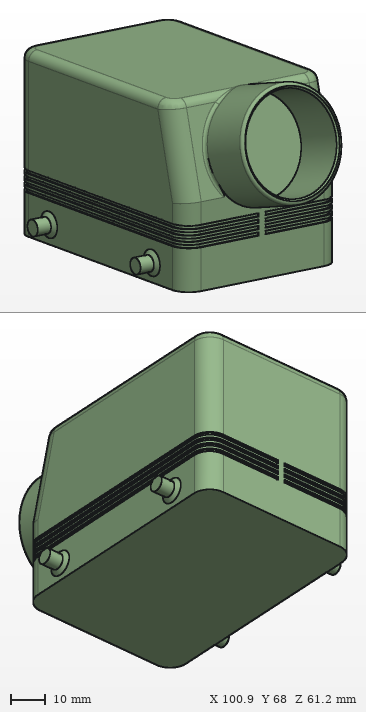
import cadquery as cq
import math

overall_length = 100.9
overall_height = 61.2

body_length = 81.9
body_width = 56.2
body_height = 56.0
corner_radius = 6.0
top_edge_radius = 3.0

slope_angle = 15.0
slope_start_z = 27.0

neck_radius = 18.0
neck_bore_radius = 16.1
neck_bore_chamfer = 0.6
neck_rim_radius = 1.0
neck_root_radius = 1.0

groove_count = 4
groove_height = 1.0
groove_depth = 0.6
groove_pitch = 1.9
first_groove_z = 13.2
groove_gap = 2.5

pin_span = 68.0
pin_radius = 2.5
pin_base_radius = 4.0
pin_base_height = 1.1
pin_z = 6.0
first_pin_x = 15.9
pin_spacing = 50.0

slope_rad = math.radians(slope_angle)
slope_top_x = body_length - (body_height - slope_start_z) * math.tan(slope_rad)
slope_direction = cq.Vector(-math.sin(slope_rad), 0, math.cos(slope_rad))
neck_direction = cq.Vector(math.cos(slope_rad), 0, math.sin(slope_rad))

rim_circle_radius = neck_radius - neck_rim_radius
rim_reach_x = neck_rim_radius * (1 - neck_direction.x) + rim_circle_radius * neck_direction.z
rim_reach_z = neck_rim_radius * (1 - neck_direction.z) + rim_circle_radius * neck_direction.x
neck_end_x = overall_length - rim_reach_x
neck_end_z = overall_height - rim_reach_z
neck_end = cq.Vector(neck_end_x, 0, neck_end_z)
slope_start = cq.Vector(body_length, 0, slope_start_z)

neck_length = (neck_end - slope_start).dot(neck_direction)

neck_sunk_length = neck_length + neck_radius


def make_body():
    """Block with one sloped end, rounded corners and a rounded top edge."""
    profile = [
        (0, 0),
        (body_length, 0),
        (body_length, slope_start_z),
        (slope_top_x, body_height),
        (0, body_height),
    ]
    block = cq.Workplane("XZ").polyline(profile).close().extrude(body_width / 2, both=True)
    upright = cq.selectors.ParallelDirSelector(cq.Vector(0, 0, 1))
    sloped = cq.selectors.ParallelDirSelector(slope_direction)
    rounded = block.edges(upright + sloped).fillet(corner_radius)
    return rounded.faces(">Z").edges().fillet(top_edge_radius)


def neck_cylinder(radius, length):
    """Cylinder running from the open end of the neck back along its axis."""
    return cq.Workplane(cq.Solid.makeCylinder(radius, length, neck_end, -neck_direction))


def make_neck_bore():
    """Blind bore down to the sloped face, with a chamfered mouth."""
    mouth_cone = cq.Solid.makeCone(
        neck_bore_radius + neck_bore_chamfer,
        neck_bore_radius,
        neck_bore_chamfer,
        neck_end,
        -neck_direction,
    )
    return neck_cylinder(neck_bore_radius, neck_length).union(cq.Workplane(mouth_cone))


def add_neck(body):
    """Merge the neck with the body, round its root and its rim, then bore it."""
    joined = body.union(neck_cylinder(neck_radius, neck_sunk_length))
    open_end = cq.selectors.DirectionMinMaxSelector(neck_direction)

    root_side = neck_end - neck_direction * neck_length + cq.Vector(0, neck_radius, 0)
    root_arc = cq.selectors.NearestToPointSelector(root_side.toTuple())
    joined = joined.edges("%CIRCLE").edges(root_arc).fillet(neck_root_radius)
    joined = joined.faces(open_end).edges().fillet(neck_rim_radius)
    return joined.cut(make_neck_bore())


def rounded_slab(inset, bottom_z):
    """Groove-high slice of the body outline, shrunk by the inset on every side."""
    return (
        cq.Workplane("XY", origin=(body_length / 2, 0, bottom_z))
        .rect(body_length - 2 * inset, body_width - 2 * inset)
        .extrude(groove_height)
        .edges("|Z")
        .fillet(corner_radius - inset)
    )


def make_groove(bottom_z):
    """Ring to cut from the body, left whole at the middle of both ends."""
    bridge = (
        cq.Workplane("XY", origin=(body_length / 2, 0, bottom_z))
        .rect(body_length, groove_gap)
        .extrude(groove_height)
    )
    return rounded_slab(0, bottom_z).cut(rounded_slab(groove_depth, bottom_z)).cut(bridge)


def make_pins(x):
    """Pair of opposed pins with conical bases, one on each long side."""
    half_width = body_width / 2
    profile = [
        (0, 0),
        (pin_base_radius, 0),
        (pin_base_radius, half_width),
        (pin_radius, half_width + pin_base_height),
        (pin_radius, pin_span / 2),
        (0, pin_span / 2),
    ]
    pin = (
        cq.Workplane("XY", origin=(x, 0, pin_z))
        .polyline(profile)
        .close()
        .revolve(360, (0, 0), (0, 1))
    )
    return pin.union(pin.mirror("XZ"))


result = add_neck(make_body())
for index in range(groove_count):
    result = result.cut(make_groove(first_groove_z + index * groove_pitch))
for pin_x in (first_pin_x, first_pin_x + pin_spacing):
    result = result.union(make_pins(pin_x))